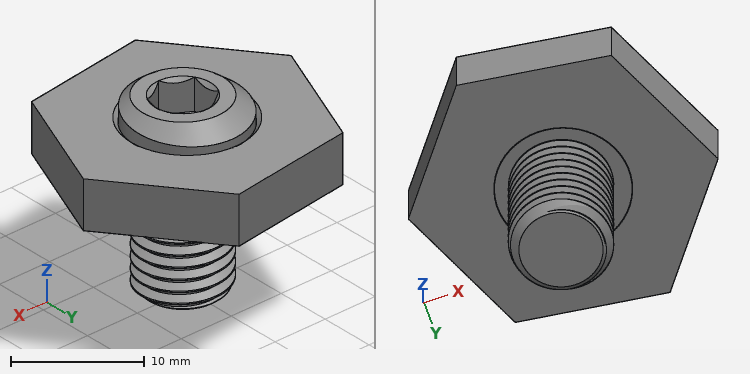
import cadquery as cq
import math

plate_across_flats = 20.65
plate_corner_radius = plate_across_flats / math.sqrt(3)
plate_turn = 7.7
plate_thickness = 4.55
hole_rim_radius = 5.6
hole_chamfer = 0.38
hole_radius = hole_rim_radius - hole_chamfer

head_radius = 5.17
head_rise = 1.72
eccentricity = 0.5
crown_radius = 4.0
crown_angle = 38
head_top = plate_thickness + head_rise

socket_across_flats = 4.77
socket_depth = 3.0
socket_corner_radius = socket_across_flats / math.sqrt(3)

thread_radius = 3.97
thread_length = 10.63
thread_pitch = 1.058
thread_depth = 0.65
thread_flank_angle = 30
crest_width = thread_pitch / 8
tip_radius = 3.17
tip_angle = 40
groove_start = 0.298
cutter_margin = 0.07


def screw_axis_cone(end_radius, end_height, far_height, angle):
    """Solid cone around the screw axis, widening from end_height to far_height."""
    height = abs(far_height - end_height)
    far_radius = end_radius + height / math.tan(math.radians(angle))
    end_centre = cq.Vector(0, -eccentricity, end_height)
    direction = cq.Vector(0, 0, far_height - end_height)
    return cq.Workplane(cq.Solid.makeCone(end_radius, far_radius, height, end_centre, direction))


def make_plate():
    corners = []
    for i in range(6):
        angle = math.radians(plate_turn + 60 * i)
        corners.append((plate_corner_radius * math.cos(angle), plate_corner_radius * math.sin(angle)))
    plate = cq.Workplane("XY").polyline(corners).close().extrude(plate_thickness)
    hole = cq.Workplane("XY").circle(hole_radius).extrude(plate_thickness)
    plate = plate.cut(hole)
    return plate.faces(">Z").edges("%CIRCLE").chamfer(hole_chamfer)


def make_socket():
    """Hexagonal prism plus the lead-in cone that opens to the hexagon's corners."""
    hexagon = (
        cq.Workplane("XY", origin=(0, -eccentricity, head_top))
        .polygon(6, 2 * socket_corner_radius)
        .extrude(-socket_depth)
        .rotate((0, -eccentricity, 0), (0, -eccentricity, 1), 30)
    )
    mouth = cq.Vector(0, -eccentricity, head_top)
    downwards = cq.Vector(0, 0, -1)
    lead_in = cq.Solid.makeCone(socket_corner_radius, 0, socket_corner_radius, mouth, downwards)
    return hexagon.union(cq.Workplane(lead_in))


def make_head():
    head = cq.Workplane("XY").circle(head_radius).extrude(head_top)
    head = head.intersect(screw_axis_cone(crown_radius, head_top, 0, crown_angle))
    return head.cut(make_socket())


def make_thread_groove():
    """Helical trapezoid around the Z axis, for a shank from Z = 0 up, overrunning both its ends."""
    flank_slope = math.tan(math.radians(thread_flank_angle))
    root_radius = thread_radius - thread_depth
    outer_radius = thread_radius + cutter_margin
    outer_half = (thread_pitch - crest_width) / 2 + cutter_margin * flank_slope
    root_half = (thread_pitch - crest_width) / 2 - thread_depth * flank_slope
    turns = math.ceil(thread_length / thread_pitch) + 1
    bottom = groove_start - thread_pitch
    top = bottom + turns * thread_pitch
    profile = [
        (root_radius, -root_half),
        (outer_radius, -outer_half),
        (outer_radius, outer_half),
        (root_radius, root_half),
    ]

    def end_cap(height):
        corners = [cq.Vector(radius, 0, height + offset) for radius, offset in profile]
        return cq.Face.makeFromWires(cq.Wire.makePolygon(corners, close=True))

    helices = []
    for radius, offset in profile:
        helix = cq.Wire.makeHelix(thread_pitch, top - bottom, radius)
        helices.append(helix.translate(cq.Vector(0, 0, bottom + offset)))

    faces = [end_cap(bottom), end_cap(top)]
    for i, helix in enumerate(helices):
        faces.append(cq.Face.makeRuledSurface(helix, helices[(i + 1) % len(helices)]))
    return cq.Workplane(cq.Solid.makeSolid(cq.Shell.makeShell(faces)))


def make_shank():
    """Threaded cylinder hanging below Z = 0, with its lower end trimmed to a cone."""
    shank = cq.Workplane("XY").circle(thread_radius).extrude(thread_length)
    shank = shank.cut(make_thread_groove()).translate((0, -eccentricity, -thread_length))
    return shank.intersect(screw_axis_cone(tip_radius, -thread_length, 0, tip_angle))


def make_screw():
    return make_head().union(make_shank())


plate = make_plate()
screw = make_screw()

result = cq.Compound.makeCompound([*plate.solids().vals(), *screw.solids().vals()])